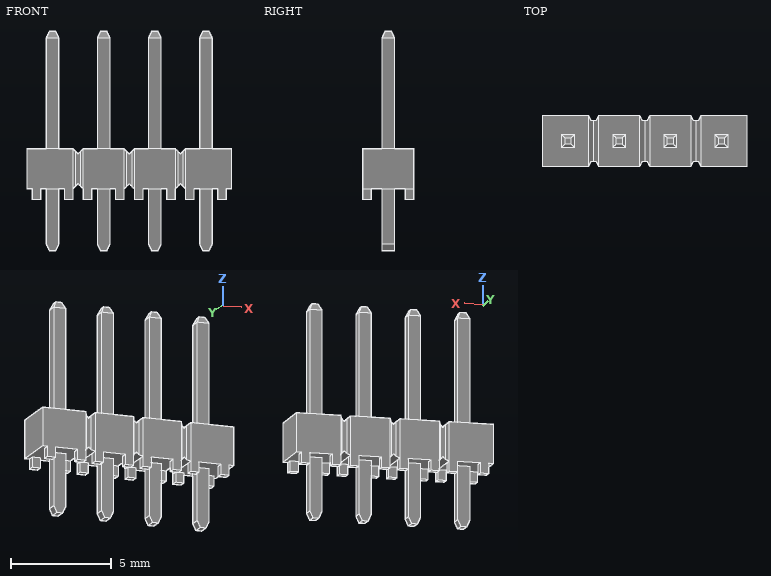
import cadquery as cq

POSITIONS = 4
HOUSING_LENGTH = 10.16
HOUSING_DEPTH = 2.54
HOUSING_HEIGHT = 2.0
PITCH = HOUSING_LENGTH / POSITIONS

GROOVE_WIDTH = 0.5
GROOVE_DEPTH = GROOVE_WIDTH / 2
GROOVE_FLOOR_WIDTH = GROOVE_WIDTH / 2

FOOT_SIZE = 0.44
FOOT_HEIGHT = 0.52
FOOT_OFFSET_X = (PITCH - GROOVE_WIDTH - FOOT_SIZE) / 2
FOOT_OFFSET_Y = (HOUSING_DEPTH - FOOT_SIZE) / 2

OVERALL_HEIGHT = 10.92
PIN_SIZE = 0.63
POST_LENGTH = 5.84
TAIL_LENGTH = OVERALL_HEIGHT - HOUSING_HEIGHT - POST_LENGTH
TIP_SIZE = 0.31
TIP_LENGTH = 0.34

pin_places = [(i - (POSITIONS - 1) / 2) * PITCH for i in range(POSITIONS)]
groove_places = [x + PITCH / 2 for x in pin_places[:-1]]


def v_groove(x, face_z, depth):
    """V-shaped cutter along Y, going from face_z by the signed depth."""
    return (
        cq.Workplane("XZ")
        .polyline([
            (x - GROOVE_WIDTH / 2, face_z),
            (x + GROOVE_WIDTH / 2, face_z),
            (x, face_z + depth),
        ])
        .close()
        .extrude(HOUSING_DEPTH / 2, both=True)
    )


def side_groove(x, side):
    """Flat-floored cutter along Z in the front (side = -1) or back (side = 1) face."""
    face_y = side * HOUSING_DEPTH / 2
    floor_y = face_y - side * GROOVE_DEPTH
    return (
        cq.Workplane("XY")
        .polyline([
            (x - GROOVE_WIDTH / 2, face_y),
            (x + GROOVE_WIDTH / 2, face_y),
            (x + GROOVE_FLOOR_WIDTH / 2, floor_y),
            (x - GROOVE_FLOOR_WIDTH / 2, floor_y),
        ])
        .close()
        .extrude(HOUSING_HEIGHT)
    )


def make_housing():
    """Insulator bar, grooved all round between positions, standing on corner feet."""
    body = cq.Workplane("XY").box(
        HOUSING_LENGTH, HOUSING_DEPTH, HOUSING_HEIGHT, centered=(True, True, False)
    )
    for x in groove_places:
        body = body.cut(v_groove(x, HOUSING_HEIGHT, -GROOVE_DEPTH))
        body = body.cut(v_groove(x, 0, GROOVE_DEPTH))
        for side in (-1, 1):
            body = body.cut(side_groove(x, side))

    foot_centers = [
        (x + side_x * FOOT_OFFSET_X, side_y * FOOT_OFFSET_Y)
        for x in pin_places
        for side_x in (-1, 1)
        for side_y in (-1, 1)
    ]
    feet = (
        cq.Workplane("XY")
        .pushPoints(foot_centers)
        .rect(FOOT_SIZE, FOOT_SIZE)
        .extrude(-FOOT_HEIGHT)
    )
    return body.union(feet)


def make_post(x):
    """Mating post on top of the housing, tapered on all four sides at its tip."""
    shoulder_z = HOUSING_HEIGHT + POST_LENGTH - TIP_LENGTH
    shank = (
        cq.Workplane("XY", origin=(x, 0, HOUSING_HEIGHT))
        .rect(PIN_SIZE, PIN_SIZE)
        .extrude(POST_LENGTH - TIP_LENGTH)
    )
    tip = (
        cq.Workplane("XY", origin=(x, 0, shoulder_z))
        .rect(PIN_SIZE, PIN_SIZE)
        .workplane(offset=TIP_LENGTH)
        .rect(TIP_SIZE, TIP_SIZE)
        .loft(ruled=True)
    )
    return shank.union(tip)


def make_tail(x):
    """Solder tail under the housing, tapered only on its two X sides at its tip."""
    shoulder_z = TIP_LENGTH - TAIL_LENGTH
    return (
        cq.Workplane("XZ", origin=(x, 0, 0))
        .polyline([
            (-PIN_SIZE / 2, 0),
            (-PIN_SIZE / 2, shoulder_z),
            (-TIP_SIZE / 2, -TAIL_LENGTH),
            (TIP_SIZE / 2, -TAIL_LENGTH),
            (PIN_SIZE / 2, shoulder_z),
            (PIN_SIZE / 2, 0),
        ])
        .close()
        .extrude(PIN_SIZE / 2, both=True)
    )


housing = make_housing()
posts = [make_post(x) for x in pin_places]
tails = [make_tail(x) for x in pin_places]

result = cq.Compound.makeCompound([
    housing.solids().val(),
    *[post.solids().val() for post in posts],
    *[tail.solids().val() for tail in tails],
])